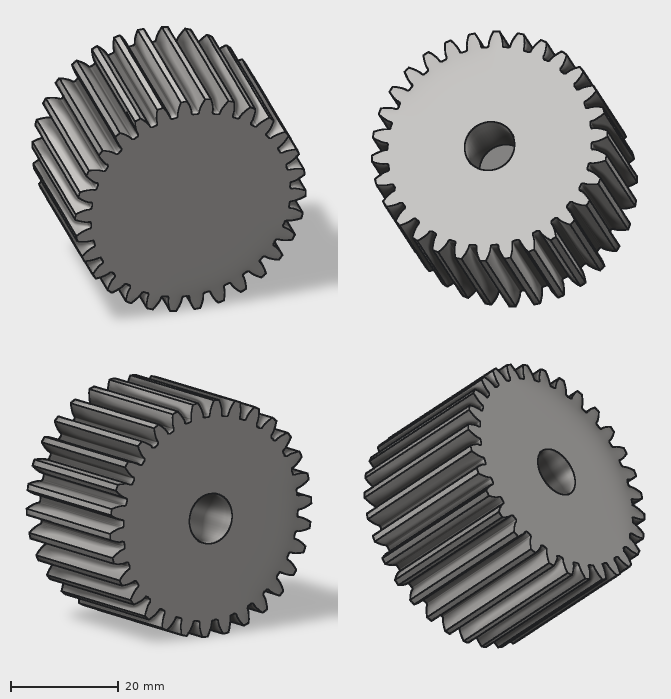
import cadquery as cq
import math

INCH = 25.4
TOOTH_COUNT = 30
DIAMETRAL_PITCH = 18 / INCH
PRESSURE_ANGLE = math.radians(20)
FACE_WIDTH = 1.125 * INCH
TIP_RADIUS = 22.437
DEDENDUM = 1.25 / DIAMETRAL_PITCH
ROOT_FILLET = 0.4
TOOTH_PHASE = math.radians(-2.69)

BORE_DIAMETER = 0.375 * INCH
BORE_DEPTH = FACE_WIDTH / 2

PITCH_RADIUS = TOOTH_COUNT / DIAMETRAL_PITCH / 2
ROOT_RADIUS = PITCH_RADIUS - DEDENDUM
BASE_RADIUS = PITCH_RADIUS * math.cos(PRESSURE_ANGLE)
TOOTH_STEP = 2 * math.pi / TOOTH_COUNT
FLANK_INTERVALS = 5


def polar(radius, angle):
    return (radius * math.cos(angle), radius * math.sin(angle))


def involute_angle(radius):
    """Polar angle that the involute has turned through between the base circle and a radius."""
    pressure_angle = math.acos(BASE_RADIUS / radius)
    return math.tan(pressure_angle) - pressure_angle


def half_tooth_angle(radius):
    """Half of the angle a tooth spans; the tooth fills half of its step on the pitch circle."""
    return TOOTH_STEP / 4 + involute_angle(PITCH_RADIUS) - involute_angle(radius)


def flank_points(tooth_angle, side):
    """Involute points from base circle to tip; side is -1 or +1 about the tooth centre."""
    rise = (TIP_RADIUS - BASE_RADIUS) / FLANK_INTERVALS
    radii = [BASE_RADIUS + rise * i for i in range(FLANK_INTERVALS + 1)]
    return [polar(r, tooth_angle + side * half_tooth_angle(r)) for r in radii]


def gear_outline():
    """Closed gear outline: radial line, involute, tip arc, involute, radial line, root arc per tooth."""
    root_half_angle = half_tooth_angle(BASE_RADIUS)
    outline = cq.Workplane("YZ", origin=(-FACE_WIDTH / 2, 0, 0))
    outline = outline.moveTo(*polar(ROOT_RADIUS, TOOTH_PHASE - root_half_angle))
    for tooth in range(TOOTH_COUNT):
        centre = TOOTH_PHASE + tooth * TOOTH_STEP
        rising = flank_points(centre, -1)
        falling = flank_points(centre, 1)[::-1]
        outline = outline.lineTo(*rising[0]).spline(rising[1:], includeCurrent=True)
        outline = outline.threePointArc(polar(TIP_RADIUS, centre), falling[0])
        outline = outline.spline(falling[1:], includeCurrent=True)
        outline = outline.lineTo(*polar(ROOT_RADIUS, centre + root_half_angle))
        gap_middle = polar(ROOT_RADIUS, centre + TOOTH_STEP / 2)
        gap_end = polar(ROOT_RADIUS, centre + TOOTH_STEP - root_half_angle)
        outline = outline.threePointArc(gap_middle, gap_end)
    return outline.close()


def is_root_edge(edge):
    """True for the lengthwise edges on the root circle."""
    middle = edge.Center()
    root_limit = (ROOT_RADIUS + BASE_RADIUS) / 2
    return math.hypot(middle.y, middle.z) < root_limit


def gear_blank():
    blank = gear_outline().extrude(FACE_WIDTH)
    return blank.edges("|X").filter(is_root_edge).fillet(ROOT_FILLET)


def bore():
    entry = cq.Workplane("YZ", origin=(-FACE_WIDTH / 2, 0, 0))
    return entry.circle(BORE_DIAMETER / 2).extrude(BORE_DEPTH)


result = gear_blank().cut(bore())